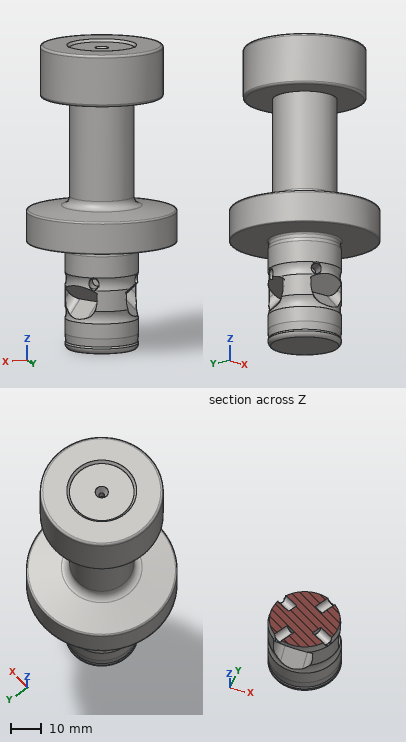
import cadquery as cq
import math

overall_height = 100.0

head_radius = 20.0
head_height = 17.0
head_edge_fillet = 0.8
bore_chamfer = 0.85

shaft_radius = 10.5
flange_radius = 24.5
flange_bottom = 35.2
flange_rim_height = 10.5
flange_top_fillet = 0.6
flange_bottom_fillet = 0.3
flange_slope = math.radians(7.5)
shaft_fillet = 3.0

spigot_radius = 12.0
neck_radius = 11.7
neck_fillet = 0.6
neck_bottom = 33.4
neck_taper_bottom = 32.2
groove_depth = 0.45
upper_groove_top = 25.15
upper_groove_bottom = 20.95
lower_groove_top = 14.1
lower_groove_bottom = 10.05
tail_taper_top = 5.1
tail_radius = 11.75
tail_taper_bottom = 2.4
end_rounding_height = 1.8
end_face_radius = 11.1

window_width = 13.85
window_corner_radius = 3.0
window_root_radius = 6.2
window_root_height = 16.5
window_axis_tilt = 45.0
window_reach = 16.0
window_directions = [30.0, 150.0, 266.1]

vent_diameter = 3.4
vent_floor_radius = 6.0
vent_mouth_length = 1.0
vent_height = 23.1
vent_first_direction = 60.0
vent_count = 4

centre_mouth_diameter = 4.25
centre_pilot_diameter = 1.7
centre_cone_angle = 60.0
centre_pilot_depth = 2.5
centre_tip_angle = 120.0

head_bottom = overall_height - head_height
shaft_top = overall_height - bore_chamfer
flange_rim_top = flange_bottom + flange_rim_height
fillet_end_radius = shaft_radius + shaft_fillet * (1 - math.sin(flange_slope))
fillet_end_height = flange_rim_top + (flange_radius - fillet_end_radius) * math.tan(flange_slope)
fillet_centre_height = fillet_end_height + shaft_fillet * math.cos(flange_slope)
fillet_mid_angle = math.radians(225) - flange_slope / 2
fillet_mid = (
    shaft_radius + shaft_fillet * (1 + math.cos(fillet_mid_angle)),
    fillet_centre_height + shaft_fillet * math.sin(fillet_mid_angle),
)
end_rounding_width = spigot_radius - end_face_radius
end_rounding_radius = (end_rounding_width**2 + end_rounding_height**2) / (2 * end_rounding_width)
end_rounding_mid_angle = math.asin(end_rounding_height / end_rounding_radius) / 2
end_rounding_mid = (
    spigot_radius - end_rounding_radius * (1 - math.cos(end_rounding_mid_angle)),
    end_rounding_height - end_rounding_radius * math.sin(end_rounding_mid_angle),
)
groove_floor_radius = spigot_radius - groove_depth


def make_head():
    """Ring with rounded outer edges and a bore chamfered at the top."""
    ring = cq.Workplane("XY").workplane(offset=head_bottom).circle(head_radius).extrude(head_height)
    ring = ring.faces("<Z or >Z").edges().fillet(head_edge_fillet)
    bore = cq.Workplane("XY").workplane(offset=head_bottom).circle(shaft_radius).extrude(head_height)
    mouth = (
        cq.Workplane("XY")
        .workplane(offset=overall_height)
        .circle(shaft_radius + bore_chamfer)
        .workplane(offset=-bore_chamfer)
        .circle(shaft_radius)
        .loft(ruled=True)
    )
    return ring.cut(bore).cut(mouth)


def turned_pin():
    """Turned outline of the shaft, flange and spigot, revolved about Z."""
    neck_fillet_mid = neck_fillet * (1 - math.sqrt(0.5))
    outline = (
        cq.Workplane("XZ")
        .moveTo(0, 0)
        .lineTo(end_face_radius, 0)
        .threePointArc(end_rounding_mid, (spigot_radius, end_rounding_height))
        .lineTo(tail_radius, tail_taper_bottom)
        .lineTo(spigot_radius, tail_taper_top)
        .lineTo(spigot_radius, lower_groove_bottom)
        .threePointArc(
            (groove_floor_radius, (lower_groove_bottom + lower_groove_top) / 2),
            (spigot_radius, lower_groove_top),
        )
        .lineTo(spigot_radius, upper_groove_bottom)
        .threePointArc(
            (groove_floor_radius, (upper_groove_bottom + upper_groove_top) / 2),
            (spigot_radius, upper_groove_top),
        )
        .lineTo(spigot_radius, neck_taper_bottom)
        .lineTo(neck_radius, neck_bottom)
        .lineTo(neck_radius, flange_bottom - neck_fillet)
        .threePointArc(
            (neck_radius + neck_fillet_mid, flange_bottom - neck_fillet_mid),
            (neck_radius + neck_fillet, flange_bottom),
        )
        .lineTo(flange_radius, flange_bottom)
        .lineTo(flange_radius, flange_rim_top)
        .lineTo(fillet_end_radius, fillet_end_height)
        .threePointArc(fillet_mid, (shaft_radius, fillet_centre_height))
        .lineTo(shaft_radius, shaft_top)
        .lineTo(0, shaft_top)
        .close()
    )
    turned = outline.revolve(360, (0, 0, 0), (0, 1, 0))
    largest_circles = cq.selectors.RadiusNthSelector(-1)
    turned = turned.edges(largest_circles).edges(">Z").fillet(flange_top_fillet)
    return turned.edges(largest_circles).edges("<Z").fillet(flange_bottom_fillet)


def window_cutter(direction):
    """Round-cornered pocket whose flat end and lower wall meet at the window root."""
    tilt = math.radians(window_axis_tilt)
    section_plane = cq.Plane(
        origin=(window_root_radius, 0, window_root_height),
        xDir=(0, 1, 0),
        normal=(math.cos(tilt), 0, -math.sin(tilt)),
    )
    half_width = window_width / 2
    flat_half_width = half_width - window_corner_radius
    corner_mid = window_corner_radius * math.sqrt(0.5)
    corner_mid_y = window_corner_radius - corner_mid
    cutter = (
        cq.Workplane(section_plane)
        .moveTo(-flat_half_width, 0)
        .lineTo(flat_half_width, 0)
        .threePointArc((flat_half_width + corner_mid, corner_mid_y), (half_width, window_corner_radius))
        .lineTo(half_width, window_reach)
        .lineTo(-half_width, window_reach)
        .lineTo(-half_width, window_corner_radius)
        .threePointArc((-flat_half_width - corner_mid, corner_mid_y), (-flat_half_width, 0))
        .close()
        .extrude(window_reach)
    )
    return cutter.rotate((0, 0, 0), (0, 0, 1), direction)


def vent_cutter(direction):
    """Blind radial hole with a 45 degree mouth that catches only the flanks of the upper groove."""
    drill_radius = vent_diameter / 2
    outline = (
        cq.Workplane("XZ")
        .moveTo(vent_floor_radius, vent_height)
        .lineTo(vent_floor_radius, vent_height + drill_radius)
        .lineTo(groove_floor_radius, vent_height + drill_radius)
        .lineTo(groove_floor_radius + vent_mouth_length, vent_height + drill_radius + vent_mouth_length)
        .lineTo(groove_floor_radius + vent_mouth_length, vent_height)
        .close()
    )
    hole = outline.revolve(360, (0, vent_height, 0), (1, vent_height, 0))
    return hole.rotate((0, 0, 0), (0, 0, 1), direction)


def centre_drilling():
    """Cone and pointed pilot hole drilled down from the top of the shaft."""
    mouth_radius = centre_mouth_diameter / 2
    pilot_radius = centre_pilot_diameter / 2
    cone_depth = (mouth_radius - pilot_radius) / math.tan(math.radians(centre_cone_angle / 2))
    tip_depth = pilot_radius / math.tan(math.radians(centre_tip_angle / 2))
    pilot_bottom = shaft_top - cone_depth - centre_pilot_depth
    outline = (
        cq.Workplane("XZ")
        .moveTo(0, shaft_top)
        .lineTo(mouth_radius, shaft_top)
        .lineTo(pilot_radius, shaft_top - cone_depth)
        .lineTo(pilot_radius, pilot_bottom)
        .lineTo(0, pilot_bottom - tip_depth)
        .close()
    )
    return outline.revolve(360, (0, 0, 0), (0, 1, 0))


def make_pin():
    """Turned pin with clamping windows, vent holes and a centre drilling."""
    pin = turned_pin().cut(centre_drilling())
    for direction in window_directions:
        pin = pin.cut(window_cutter(direction))
    for index in range(vent_count):
        pin = pin.cut(vent_cutter(vent_first_direction + index * 360 / vent_count))
    return pin


head = make_head()
pin = make_pin()
result = cq.Compound.makeCompound([head.val(), pin.val()])